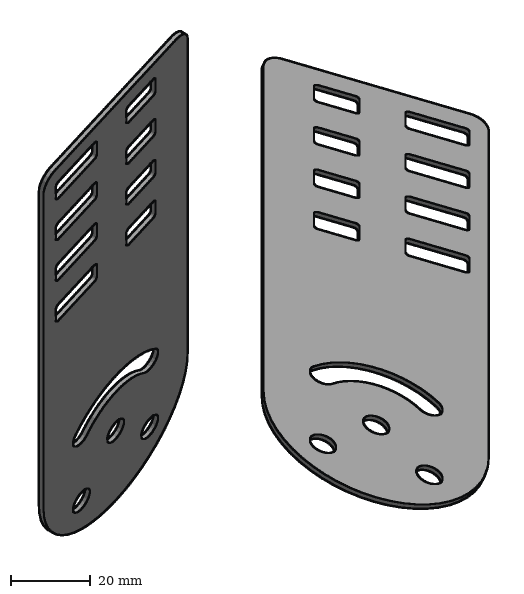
import cadquery as cq
import math

thickness = 1.5
width = 60.0
height = 170.0
top_corner_radius = 5.0
end_radius = width / 2
top_z = height / 2
pivot_z = -height / 2 + end_radius

hole_diameter = 7.0
pitch_radius = 20.0
diagonal_offset = pitch_radius * math.sin(math.radians(45))

window_rows = 4
window_pitch = 17.5
window_height = 7.0
first_row_z = top_z - 10.0
narrow_window_width = 12.0
narrow_window_y = 10.5
window_corner_radius = 1.0
wide_window_width = 17.0
wide_window_y = -16.3


def side_plane():
    """YZ sketch plane on the -X face of the plate."""
    return cq.Workplane("YZ", origin=(-thickness / 2, 0, 0))


def plate():
    straight = (
        side_plane()
        .center(0, (top_z + pivot_z) / 2)
        .rect(width, top_z - pivot_z)
        .extrude(thickness)
        .edges("|X and >Z")
        .fillet(top_corner_radius)
    )
    round_end = side_plane().center(0, pivot_z).circle(end_radius).extrude(thickness)
    return straight.union(round_end)


def window_column(center_y, window_width):
    centers = [(center_y, first_row_z - row * window_pitch) for row in range(window_rows)]
    return (
        side_plane()
        .pushPoints(centers)
        .rect(window_width, window_height)
        .extrude(thickness)
        .edges("|X")
        .fillet(window_corner_radius)
    )


def round_holes():
    centers = [
        (0, pivot_z),
        (-diagonal_offset, pivot_z - diagonal_offset),
        (diagonal_offset, pivot_z - diagonal_offset),
    ]
    return side_plane().pushPoints(centers).circle(hole_diameter / 2).extrude(thickness)


def curved_slot():
    """Round-ended slot spanning 45 degrees to each side above the pivot."""
    inner_radius = pitch_radius - hole_diameter / 2
    outer_radius = pitch_radius + hole_diameter / 2
    inner = inner_radius * math.sin(math.radians(45))
    outer = outer_radius * math.sin(math.radians(45))
    end_cap = hole_diameter / 2 * math.sin(math.radians(45))
    cap_y = diagonal_offset + end_cap
    cap_z = diagonal_offset - end_cap
    return (
        side_plane()
        .center(0, pivot_z)
        .moveTo(-outer, outer)
        .threePointArc((0, outer_radius), (outer, outer))
        .threePointArc((cap_y, cap_z), (inner, inner))
        .threePointArc((0, inner_radius), (-inner, inner))
        .threePointArc((-cap_y, cap_z), (-outer, outer))
        .close()
        .extrude(thickness)
    )


result = (
    plate()
    .cut(window_column(narrow_window_y, narrow_window_width))
    .cut(window_column(wide_window_y, wide_window_width))
    .cut(round_holes())
    .cut(curved_slot())
)